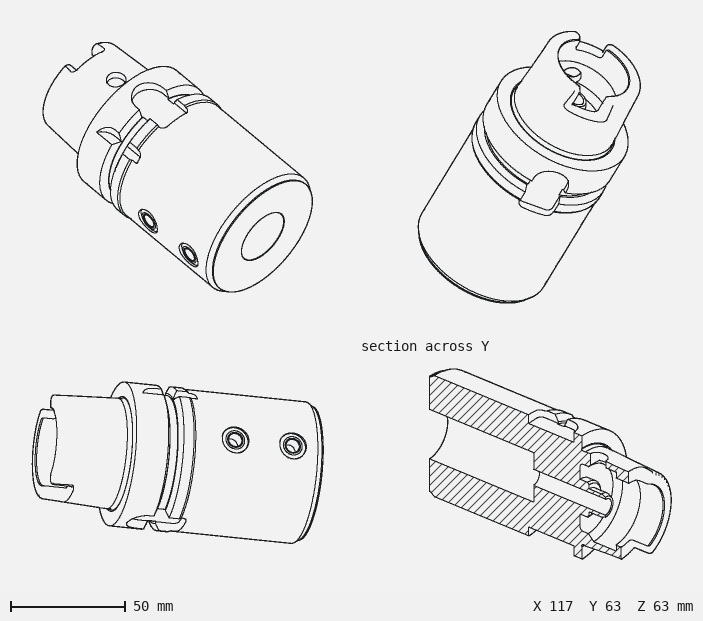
import cadquery as cq
import math


shank_length = 32.0
gauge_diameter = 48.0
gauge_distance = 6.3
taper_slope = 0.05
shank_end_round = 1.2

relief_start = 2.1
relief_bottom_start = 1.4
relief_radius = 0.6
relief_depth = 0.2
relief_face_diameter = 50.3

flange_diameter = 63.0
flange_length = 26.0
groove_diameter = 55.0
groove_start = 16.2
groove_end = 19.7
groove_bevel_length = 1.7
groove_front_foot_diameter = 55.6
groove_rear_foot_diameter = 56.8

body_end = 85.0
body_diameter = 62.0
flange_rear_bevel = 0.9
nose_diameter = 58.8
nose_length = 0.6
nose_bevel_length = 2.3

keyway_width = 12.5
upper_keyway_depth = 6.2
lower_keyway_depth = 10.2
keyway_inner_z = 10.0
keyway_flare_radius = 2.75
keyway_flare_start = 18.0
keyway_floor_round = 1.5

cavity_diameter = 34.0
cavity_mouth_diameter = 34.5
cavity_mouth_bevel = 0.6
cavity_floor = 1.0
cavity_floor_round = 1.5
clamp_groove_diameter = 40.0
clamp_groove_start = -18.8
clamp_groove_end = -6.5
clamp_groove_rear_length = 3.0

coolant_diameter = 8.0
tube_diameter = 12.0
tube_tip_diameter = 10.3
tube_tip_length = 2.1
tube_end = -13.0
nut_diameter = 18.0
nut_end = -4.0
nut_bevel = 0.9

tool_bore_diameter = 25.0
tool_bore_depth = 58.0
tool_bore_bevel = 0.2

access_hole_diameter = 8.5
access_hole_x = -8.9

slot_width = 16.0
key_slot_start = 4.7
slot_end = 29.7
slot_end_round = 2.5
slot_floor_height = 26.5
notch_start = 4.0
notch_offset = 20.0

screw_positions = (44.9, 70.9)
screw_diameter = 12.0
screw_head_diameter = 8.5
screw_bevel_length = 1.0
screw_top = body_diameter / 2 - 0.5
socket_mouth_diameter = 6.93
socket_diameter = 6.0
socket_depth = 7.0
socket_bevel_depth = 0.2
socket_point_angle = 118.0

tol = 0.1


def taper_radius(x):
    return gauge_diameter / 2 + taper_slope * (x + gauge_distance)


def revolve_about_x(profile):
    return profile.close().revolve(360, (0, 0, 0), (1, 0, 0))


def make_outer_body():
    relief_r = taper_radius(-relief_start) - relief_depth
    flange_r = flange_diameter / 2
    groove_r = groove_diameter / 2
    body_r = body_diameter / 2
    nose_r = nose_diameter / 2
    profile = (
        cq.Workplane("XY")
        .moveTo(-shank_length, 0)
        .lineTo(-shank_length, taper_radius(-shank_length))
        .lineTo(-relief_start, taper_radius(-relief_start))
        .lineTo(-relief_bottom_start, relief_r)
        .lineTo(relief_depth - relief_radius, relief_r)
        .radiusArc((relief_depth, relief_r + relief_radius), -relief_radius)
        .lineTo(0, relief_face_diameter / 2)
        .lineTo(0, flange_r)
        .lineTo(groove_start - groove_bevel_length, flange_r)
        .lineTo(groove_start, groove_front_foot_diameter / 2)
        .lineTo(groove_start, groove_r)
        .lineTo(groove_end, groove_r)
        .lineTo(groove_end, groove_rear_foot_diameter / 2)
        .lineTo(groove_end + groove_bevel_length, flange_r)
        .lineTo(flange_length, flange_r)
        .lineTo(flange_length + flange_rear_bevel, body_r)
        .lineTo(body_end - nose_length - nose_bevel_length, body_r)
        .lineTo(body_end - nose_length, nose_r)
        .lineTo(body_end, nose_r)
        .lineTo(body_end, 0)
    )
    return revolve_about_x(profile)


def cut_keyway(body, side, depth):
    """Cut one drive keyway; side is +1 for the +Z keyway and -1 for the -Z one.

    The walls flare outwards in an arc and the floor corners are rounded.
    """
    half = keyway_width / 2
    flare = keyway_flare_radius
    top = flange_diameter / 2
    wing = half + 2 * flare
    flare_top = keyway_flare_start + flare
    cutter = (
        cq.Workplane("YZ", origin=(-shank_length, 0, 0))
        .moveTo(-half, keyway_inner_z)
        .lineTo(half, keyway_inner_z)
        .lineTo(half, keyway_flare_start)
        .radiusArc((half + flare, flare_top), flare)
        .lineTo(wing, flare_top)
        .lineTo(wing, top)
        .lineTo(-wing, top)
        .lineTo(-wing, flare_top)
        .lineTo(-half - flare, flare_top)
        .radiusArc((-half, keyway_flare_start), flare)
        .close()
        .extrude(depth)
    )
    wall_zone = cq.selectors.BoxSelector(
        (depth - shank_length - 1, -wing + tol, keyway_inner_z + tol),
        (depth - shank_length + 1, wing - tol, flare_top + tol),
    )
    cutter = cutter.faces(">X").edges(wall_zone).fillet(keyway_floor_round)
    if side < 0:
        cutter = cutter.mirror("XY")
    return body.cut(cutter)


def round_shank_end(body):
    inner_edges = cq.selectors.BoxSelector(
        (-shank_length - 1, -keyway_width, -keyway_inner_z - 1),
        (-shank_length + 1, keyway_width, keyway_inner_z + 1),
    )
    end_edges = body.faces("<X").edges()
    return end_edges.edges(cq.selectors.InverseSelector(inner_edges)).fillet(shank_end_round)


def make_cavity():
    bore_r = cavity_diameter / 2
    groove_r = clamp_groove_diameter / 2
    nut_r = nut_diameter / 2
    tube_r = tube_diameter / 2
    profile = (
        cq.Workplane("XY")
        .moveTo(-shank_length, 0)
        .lineTo(-shank_length, cavity_mouth_diameter / 2)
        .lineTo(-shank_length + cavity_mouth_bevel, bore_r)
        .lineTo(clamp_groove_start, bore_r)
        .lineTo(clamp_groove_start, groove_r)
        .lineTo(clamp_groove_end, groove_r)
        .lineTo(clamp_groove_end + clamp_groove_rear_length, bore_r)
        .lineTo(cavity_floor - cavity_floor_round, bore_r)
        .radiusArc((cavity_floor, bore_r - cavity_floor_round), cavity_floor_round)
        .lineTo(cavity_floor, nut_r)
        .lineTo(nut_end + nut_bevel, nut_r)
        .lineTo(nut_end, nut_r - nut_bevel)
        .lineTo(nut_end, tube_r)
        .lineTo(tube_end + tube_tip_length, tube_r)
        .lineTo(tube_end, tube_tip_diameter / 2)
        .lineTo(tube_end, 0)
    )
    return revolve_about_x(profile)


def make_axial_bores():
    coolant_r = coolant_diameter / 2
    bore_start = body_end - tool_bore_depth
    bore_r = tool_bore_diameter / 2
    profile = (
        cq.Workplane("XY")
        .moveTo(tube_end, 0)
        .lineTo(tube_end, coolant_r)
        .lineTo(bore_start, coolant_r)
        .lineTo(bore_start, bore_r)
        .lineTo(body_end - tool_bore_bevel, bore_r)
        .lineTo(body_end, bore_r + tool_bore_bevel)
        .lineTo(body_end, 0)
    )
    return revolve_about_x(profile)


def make_access_hole():
    """Plain radial hole from inside the cavity out through the upper shank wall."""
    hole_start = (cavity_diameter + tube_diameter) / 4
    return (
        cq.Workplane("XY", origin=(access_hole_x, 0, hole_start))
        .circle(access_hole_diameter / 2)
        .extrude(flange_diameter / 2)
    )


def make_gripper_slot(slot_start):
    """Vertical milled slot: round entry end, square rear end with rounded corners."""
    half = slot_width / 2
    height = flange_diameter / 2
    return (
        cq.Workplane("XY")
        .moveTo(slot_start + half, -half)
        .lineTo(slot_end, -half)
        .lineTo(slot_end, half)
        .lineTo(slot_start + half, half)
        .threePointArc((slot_start, 0), (slot_start + half, -half))
        .close()
        .extrude(height)
        .edges("|Z and >X")
        .fillet(slot_end_round)
    )


def make_screw_recess(x):
    """Recess around a bevelled set screw end and its bevelled round socket with a drill point."""
    outside = body_diameter / 2 + 1
    screw_r = screw_diameter / 2
    head_r = screw_head_diameter / 2
    socket_r = socket_diameter / 2
    mouth_r = socket_mouth_diameter / 2
    socket_bottom = screw_top - socket_depth
    point_depth = socket_r / math.tan(math.radians(socket_point_angle / 2))
    profile = (
        cq.Workplane("XY")
        .moveTo(0, -outside)
        .lineTo(screw_r, -outside)
        .lineTo(screw_r, screw_bevel_length - screw_top)
        .lineTo(head_r, -screw_top)
        .lineTo(mouth_r, -screw_top)
        .lineTo(socket_r, socket_bevel_depth - screw_top)
        .lineTo(socket_r, -socket_bottom)
        .lineTo(0, point_depth - socket_bottom)
        .close()
    )
    return profile.revolve(360, (0, 0, 0), (0, 1, 0)).translate((x, 0, 0))


result = make_outer_body()
result = cut_keyway(result, 1, upper_keyway_depth)
result = cut_keyway(result, -1, lower_keyway_depth)
result = round_shank_end(result)
result = result.cut(make_cavity()).cut(make_axial_bores()).cut(make_access_hole())

upper_slot = make_gripper_slot(key_slot_start).translate((0, 0, slot_floor_height))
lower_slot = upper_slot.mirror("XY")
notch_center_y = -notch_offset - slot_width / 2
corner_notch = make_gripper_slot(notch_start).translate((0, notch_center_y, notch_offset))
result = result.cut(upper_slot).cut(lower_slot).cut(corner_notch)

for screw_x in screw_positions:
    result = result.cut(make_screw_recess(screw_x))